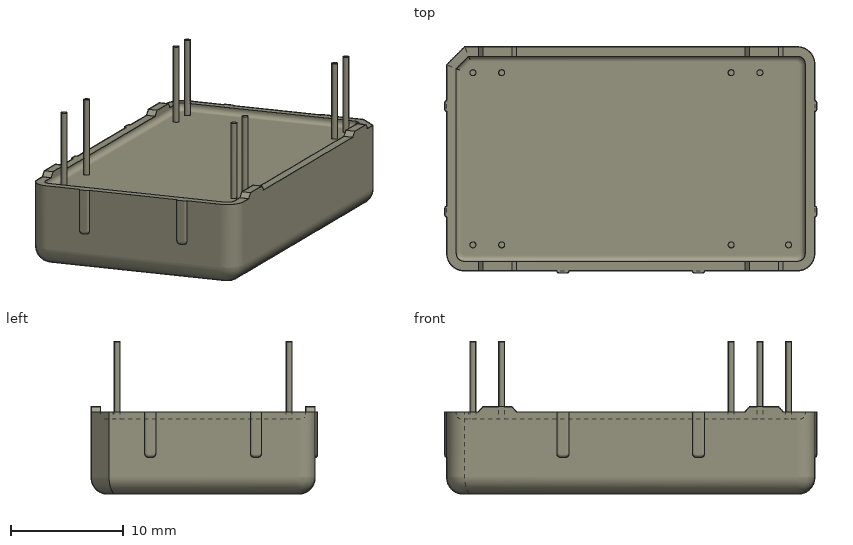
import cadquery as cq

body_length = 32.6
body_width = 19.85
body_height = 7.3
corner_radius = 1.55
corner_chamfer = 1.6
bottom_radius = 1.5

wall = 0.85
recess_depth = 0.65
recess_corner_radius = corner_radius - wall
recess_chamfer = 1.1
recess_floor_radius = 0.48

tab_height = 0.45
tab_base_length = 3.4
tab_top_length = 2.55
tab_offset_x = 11.8

rib_length = 4.05
rib_embed = 0.3
rib_corner_radius = 0.35
rib_edge_radius = 0.23
front_rib_width = 1.1
front_rib_height = 0.2
front_rib_offset = 6.0
side_rib_width = 1.0
side_rib_height = 0.17
side_rib_offset = 4.68

pin_diameter = 0.53
pin_top = 13.51
pin_pitch = 2.54
pin_row_spacing = 6 * pin_pitch
last_column = 11
front_row_columns = (0, 1, 9, 11)
back_row_columns = (0, 1, 9, 10)


def rounded_block(length, width, height, radius, chamfer):
    """Block with three rounded upright edges and a chamfered one at -X, +Y."""
    block = cq.Workplane("XY").box(length, width, height, centered=(True, True, False))
    block = block.edges("|Z and (>X or (<X and <Y))").fillet(radius)
    return block.edges("|Z").edges("<X").edges(">Y").chamfer(chamfer)


def make_body():
    body = rounded_block(body_length, body_width, body_height, corner_radius, corner_chamfer)
    return body.faces("<Z").edges().fillet(bottom_radius)


def make_recess():
    recess = rounded_block(
        body_length - 2 * wall,
        body_width - 2 * wall,
        recess_depth,
        recess_corner_radius,
        recess_chamfer,
    )
    recess = recess.faces("<Z").edges().fillet(recess_floor_radius)
    return recess.translate((0, 0, body_height - recess_depth))


def make_tab(x, side):
    """Trapezoidal tab standing on the rim at the +Y (side = 1) or -Y (side = -1) wall."""
    half_base = tab_base_length / 2
    half_top = tab_top_length / 2
    profile = [(-half_base, 0), (half_base, 0), (half_top, tab_height), (-half_top, tab_height)]
    tab = cq.Workplane("XZ").polyline(profile).close().extrude(wall / 2, both=True)
    return tab.translate((x, side * (body_width - wall) / 2, body_height))


def make_rib(width, height):
    """Rib on a wall facing -Y at Y = 0, hanging from Z = 0, with its lower corners and free edges rounded."""
    depth = height + rib_embed
    rib = cq.Workplane("XY").box(width, depth, rib_length)
    rib = rib.edges("|Y and <Z").fillet(rib_corner_radius)
    rib = rib.faces("<Y").edges("not >Z").fillet(rib_edge_radius)
    return rib.translate((0, depth / 2 - height, -rib_length / 2))


def make_ribs():
    front_rib = make_rib(front_rib_width, front_rib_height).translate((0, -body_width / 2, body_height))
    side_rib = make_rib(side_rib_width, side_rib_height).translate((0, -body_length / 2, body_height))
    ribs = []
    for direction in (-1, 1):
        ribs.append(front_rib.translate((direction * front_rib_offset, 0, 0)))
        side_wall_rib = side_rib.rotate((0, 0, 0), (0, 0, 1), direction * 90)
        for y in (-side_rib_offset, side_rib_offset):
            ribs.append(side_wall_rib.translate((0, y, 0)))
    return ribs


def make_pins():
    floor = body_height - recess_depth
    points = []
    for side, columns in ((-1, front_row_columns), (1, back_row_columns)):
        for column in columns:
            points.append(((column - last_column / 2) * pin_pitch, side * pin_row_spacing / 2))
    pins = cq.Workplane("XY").workplane(offset=floor).pushPoints(points)
    return pins.circle(pin_diameter / 2).extrude(pin_top - floor)


result = make_body().cut(make_recess())
for tab_x in (-tab_offset_x, tab_offset_x):
    for tab_side in (-1, 1):
        result = result.union(make_tab(tab_x, tab_side))
for rib in make_ribs():
    result = result.union(rib)
result = result.union(make_pins())